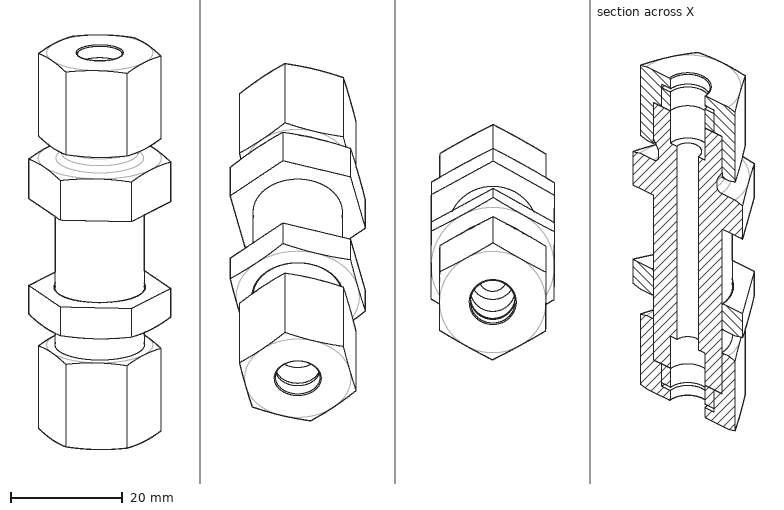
import cadquery as cq
import math

TOTAL_LENGTH = 72.0

BODY_ACROSS_FLATS = 22.0
NUT_ACROSS_FLATS = 19.0
HEX_CHAMFER_ANGLE = 15.0

SHANK_DIAMETER = 16.0
NECK_DIAMETER = 13.7
NECK_FILLET = 1.0
NECK_CONE_ANGLE = 30.0
BODY_HEX_BOTTOM = 44.0
BODY_HEX_HEIGHT = 8.0
NECK_CONE_START = 54.8
BORE_DIAMETER = 5.0
TUBE_DIAMETER = 8.0
SEAT_DEPTH = 7.2

NUT_LENGTH = 16.5
MOUTH_DEPTH = 2.4
RING_DEPTH = 3.0
BODY_END_DEPTH = 7.2
RING_DIAMETER = 12.0

LOCKNUT_BOTTOM = 21.6
LOCKNUT_HEIGHT = 5.9

HOLE_CHAMFER = 0.2


def hexagon(across_flats, bottom, height):
    """Hexagonal prism on the Z axis with two corners on the Y axis."""
    across_corners = across_flats / math.cos(math.radians(30))
    prism = cq.Workplane("XY").polygon(6, across_corners).extrude(height)
    return prism.rotate((0, 0, 0), (0, 0, 1), 90).translate((0, 0, bottom))


def disc(diameter, bottom, top):
    """Round cylinder on the Z axis between two heights."""
    return cq.Workplane("XY").workplane(offset=bottom).circle(diameter / 2).extrude(top - bottom)


def revolved(profile):
    """Solid turned about the Z axis from a closed profile of (radius, height)."""
    return profile.close().revolve(360, (0, 0, 0), (0, 1, 0))


def corner_cone(across_flats, face, inward):
    """Cutter that bevels the hexagon corners at an end face, down to a circle touching the flats.

    inward is +1 where the material lies above the face and -1 where it lies below.
    """
    inner = across_flats / 2
    outer = across_flats
    drop = (outer - inner) * math.tan(math.radians(HEX_CHAMFER_ANGLE))
    return revolved(
        cq.Workplane("XZ").moveTo(inner, face).lineTo(outer, face).lineTo(outer, face + inward * drop)
    )


def hole_bevel(diameter, face, inward):
    """Cutter for the small bevel on a hole edge."""
    radius = diameter / 2
    rim = radius + HOLE_CHAMFER
    depth = face + inward * HOLE_CHAMFER
    return revolved(
        cq.Workplane("XZ").moveTo(0, face).lineTo(rim, face).lineTo(radius, depth).lineTo(0, depth)
    )


def make_body():
    """Bulkhead body: long shank, hexagon, relieved neck, upper end and stepped bore."""
    bottom = BODY_END_DEPTH
    top = TOTAL_LENGTH - BODY_END_DEPTH
    hex_top = BODY_HEX_BOTTOM + BODY_HEX_HEIGHT
    shank_radius = SHANK_DIAMETER / 2
    neck_radius = NECK_DIAMETER / 2

    angle = math.radians(NECK_CONE_ANGLE)
    fillet_center = neck_radius + NECK_FILLET
    cone_start_radius = fillet_center - NECK_FILLET * math.cos(angle)
    neck_top = NECK_CONE_START - NECK_FILLET * math.sin(angle)
    fillet_mid = (
        fillet_center - NECK_FILLET * math.cos(angle / 2),
        neck_top + NECK_FILLET * math.sin(angle / 2),
    )
    cone_end = NECK_CONE_START + (shank_radius - cone_start_radius) / math.tan(angle)

    neck_bottom = hex_top + NECK_FILLET
    quarter_mid = (
        fillet_center - NECK_FILLET * math.cos(math.radians(45)),
        neck_bottom - NECK_FILLET * math.sin(math.radians(45)),
    )

    turned = revolved(
        cq.Workplane("XZ")
        .moveTo(0, bottom)
        .lineTo(shank_radius, bottom)
        .lineTo(shank_radius, hex_top)
        .lineTo(fillet_center, hex_top)
        .threePointArc(quarter_mid, (neck_radius, neck_bottom))
        .lineTo(neck_radius, neck_top)
        .threePointArc(fillet_mid, (cone_start_radius, NECK_CONE_START))
        .lineTo(shank_radius, cone_end)
        .lineTo(shank_radius, top)
        .lineTo(0, top)
    )
    hex_collar = hexagon(BODY_ACROSS_FLATS, BODY_HEX_BOTTOM, BODY_HEX_HEIGHT)
    hex_collar = hex_collar.cut(corner_cone(BODY_ACROSS_FLATS, hex_top, -1))

    body = turned.union(hex_collar)
    body = body.cut(disc(BORE_DIAMETER, bottom, top))
    body = body.cut(disc(TUBE_DIAMETER, bottom, bottom + SEAT_DEPTH))
    return body.cut(disc(TUBE_DIAMETER, top - SEAT_DEPTH, top))


def make_nut():
    """Union nut of the lower end, with its outer face on Z = 0."""
    nut = hexagon(NUT_ACROSS_FLATS, 0, NUT_LENGTH)
    nut = nut.cut(corner_cone(NUT_ACROSS_FLATS, 0, 1))
    nut = nut.cut(corner_cone(NUT_ACROSS_FLATS, NUT_LENGTH, -1))
    nut = nut.cut(disc(TUBE_DIAMETER, 0, MOUTH_DEPTH))
    nut = nut.cut(hole_bevel(TUBE_DIAMETER, 0, 1))
    nut = nut.cut(disc(RING_DIAMETER, MOUTH_DEPTH, BODY_END_DEPTH))
    return nut.cut(disc(SHANK_DIAMETER, BODY_END_DEPTH, NUT_LENGTH))


def make_cutting_ring():
    """Cutting ring of the lower end, resting on the end of the body inside the nut."""
    ring = disc(RING_DIAMETER, RING_DEPTH, BODY_END_DEPTH)
    return ring.cut(disc(TUBE_DIAMETER, RING_DEPTH, BODY_END_DEPTH))


def make_locknut():
    """Lock nut, with beveled corners on its lower side only."""
    top = LOCKNUT_BOTTOM + LOCKNUT_HEIGHT
    locknut = hexagon(BODY_ACROSS_FLATS, LOCKNUT_BOTTOM, LOCKNUT_HEIGHT)
    locknut = locknut.cut(corner_cone(BODY_ACROSS_FLATS, LOCKNUT_BOTTOM, 1))
    locknut = locknut.cut(disc(SHANK_DIAMETER, LOCKNUT_BOTTOM, top))
    locknut = locknut.cut(hole_bevel(SHANK_DIAMETER, LOCKNUT_BOTTOM, 1))
    return locknut.cut(hole_bevel(SHANK_DIAMETER, top, -1))


def at_end(part, upper):
    """Place a part made for the lower end, mirrored to the upper end if asked."""
    if upper:
        return part.mirror("XY", (0, 0, TOTAL_LENGTH / 2))
    return part


body = make_body()
locknut = make_locknut()
nuts = []
cutting_rings = []
for upper in (False, True):
    nuts.append(at_end(make_nut(), upper).val())
    cutting_rings.append(at_end(make_cutting_ring(), upper).val())

result = cq.Compound.makeCompound([body.val(), locknut.val(), *nuts, *cutting_rings])